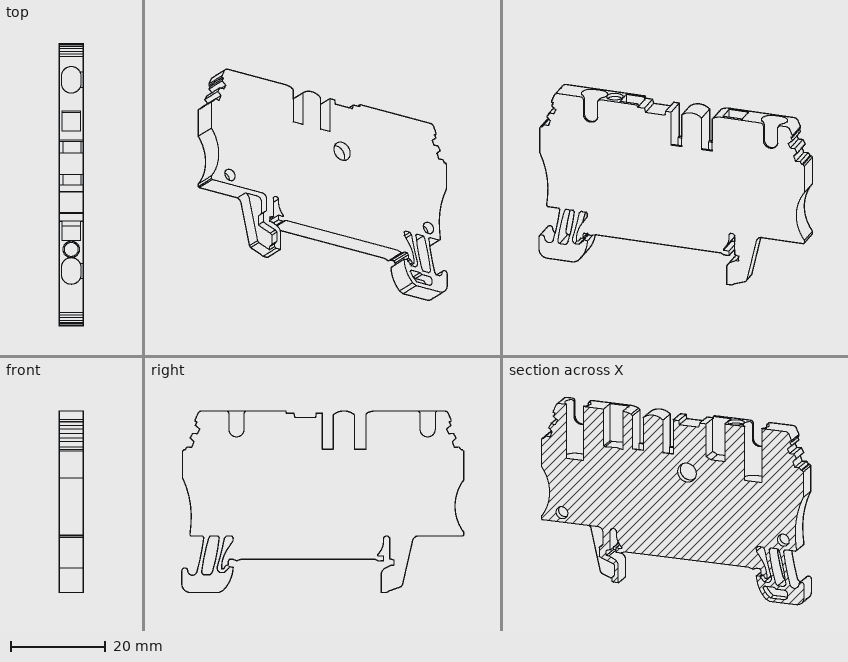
import cadquery as cq
import math

thickness = 5.1
overall_length = 59.48
height = 38.35
body_length = 59.33
eps = 0.5

ledge_z = 11.92
rail_z = 7.03
shoulder_z = 30.15
waist_top_z = 23.75
far_waist_top_z = 24.2

slot_floor_z = 30.25
slot_one = (20.67, 23.03)
slot_two = (27.53, 29.84)
pin_shoulder_z = 37.5
crest_start, crest_mid, crest_end = (18.5, height), (19.5, 38.24), (20.35, 37.93)
crest_foot_z = 37.6
low_top_z = 37.86
bridge_floor_z = 36.94
channel_x = (-1.71, 2.07)
channel_depth = 3.0

corner_holes = [(4.67, 14.07), (54.74, 14.07)]
corner_hole_diameter, corner_hole_depth = 2.55, 2.2
center_hole = (32.95, 26.45)
center_hole_diameter, center_hole_depth = 4.1, 2.2

wire_entries = [7.61, 47.93]
wire_entry_length, wire_entry_width = 5.6, 4.16
wire_entry_depth = 12.0
scallop_radius = 1.6
scallop_lip_radius = 0.66
scallop_depth = 5.5
tool_opening_width = 3.8
tool_floor_z = 30.0
tool_opening_floors = [
    [(14.15, tool_floor_z + 0.1), (14.5, tool_floor_z),
     (17.05, tool_floor_z + 0.12), (18.45, tool_floor_z - 0.15)],
    [(37.34, tool_floor_z + 0.55), (38.45, tool_floor_z), (41.5, tool_floor_z)],
]
test_hole_s = 43.38
test_hole_diameter, test_hole_rim_diameter = 2.95, 3.48
test_hole_depth = 8.0
test_hole_rim_depth = 0.6

leg_web_thickness = 3.15
foot_pocket_depth = 2.5


def side_plane(x):
    """Plane at x with local axes (s, z); its normal points to -X."""
    return cq.Plane(origin=(x, overall_length / 2, 0), xDir=(0, -1, 0), normal=(-1, 0, 0))


def side_sketch(x=thickness / 2):
    return cq.Workplane(side_plane(x))


def top_sketch(s, z=height):
    """Horizontal plane at level z centred at distance s from the +Y end."""
    return cq.Workplane("XY", origin=(0, overall_length / 2 - s, z))


def box_cut(s_range, z_range, x_range):
    """Box given by its ranges along s, z and x."""
    s_size = s_range[1] - s_range[0]
    z_size = z_range[1] - z_range[0]
    return (
        side_sketch(x_range[1])
        .moveTo(s_range[0] + s_size / 2, z_range[0] + z_size / 2)
        .rect(s_size, z_size)
        .extrude(x_range[1] - x_range[0])
    )


edge_start, edge_mid = (4.15, height), (3.62, 38.2)

end_steps = [
    (3.25, 37.8), (2.68, 36.5), (2.68, 36.1), (3.03, 36.0), (2.68, 35.3), (3.62, 34.5),
    (3.15, 33.55), (2.15, 33.6), (1.6, 32.6), (2.4, 31.85), (1.95, 30.65), (0.97, 30.75),
    (0.55, shoulder_z), (0.3, shoulder_z), (0, shoulder_z - 0.3),
]


def far_end(point):
    """Mirror of a profile point at the other end of the body."""
    return (body_length - point[0], point[1])


def make_body():
    far_steps = [far_end(point) for point in reversed(end_steps)]
    pin_middle = (slot_one[1] + slot_two[0]) / 2
    corner = 0.2
    return (
        side_sketch()
        .moveTo(*edge_start)
        .threePointArc(edge_mid, end_steps[0])
        .polyline(end_steps[1:], includeCurrent=True)
        .lineTo(0, waist_top_z)
        .threePointArc((1.82, 18.4), (0, 12.75))
        .lineTo(0, ledge_z + corner)
        .lineTo(corner, ledge_z)
        .lineTo(57.5, ledge_z)
        .lineTo(57.75, ledge_z + corner)
        .lineTo(57.75, 12.5)
        .lineTo(57.57, 14.3)
        .threePointArc((57.76, 19.2), (body_length, far_waist_top_z))
        .polyline(far_steps, includeCurrent=True)
        .threePointArc(far_end(edge_mid), far_end(edge_start))
        .lineTo(37.5, height)
        .lineTo(37.42, low_top_z)
        .lineTo(35.84, low_top_z)
        .lineTo(35.57, bridge_floor_z)
        .lineTo(31.26, bridge_floor_z)
        .lineTo(31.12, low_top_z)
        .lineTo(slot_two[1], low_top_z)
        .lineTo(slot_two[1], slot_floor_z)
        .lineTo(slot_two[0], slot_floor_z)
        .lineTo(slot_two[0], pin_shoulder_z)
        .threePointArc((pin_middle, height), (slot_one[1], pin_shoulder_z))
        .lineTo(slot_one[1], slot_floor_z)
        .lineTo(slot_one[0], slot_floor_z)
        .lineTo(slot_one[0], crest_foot_z)
        .lineTo(*crest_end)
        .threePointArc(crest_mid, crest_start)
        .close()
        .extrude(thickness)
    )


def make_belly():
    """Middle part below the ledge, with a hook at the +Y end and a claw at the -Y end."""
    top = ledge_z + 1
    return (
        side_sketch()
        .moveTo(16.9, top)
        .lineTo(16.9, 10.6)
        .threePointArc((17.2, 9.4), (18.15, 8.0))
        .lineTo(18.1, 7.77)
        .lineTo(16.88, 7.77)
        .lineTo(16.88, 6.7)
        .lineTo(17.98, 6.66)
        .lineTo(18.8, rail_z)
        .lineTo(46.9, rail_z)
        .lineTo(47.93, 6.7)
        .lineTo(48.7, rail_z)
        .lineTo(49.4, rail_z)
        .lineTo(49.65, 6.6)
        .lineTo(49.65, 5.85)
        .lineTo(50.2, 5.65)
        .lineTo(50.65, 5.0)
        .lineTo(51.1, 5.0)
        .threePointArc((50.75, 7.4), (49.85, 9.2))
        .lineTo(48.7, 10.9)
        .lineTo(48.65, 11.6)
        .lineTo(48.95, ledge_z)
        .lineTo(48.95, top)
        .close()
        .extrude(thickness)
    )


def make_leg():
    """Sprung leg at the +Y end: a full-thickness strip backed by a web on the +X side."""
    top = ledge_z + 1
    leg = (
        side_sketch()
        .moveTo(9.84, top)
        .lineTo(9.84, ledge_z)
        .threePointArc((10.5, 11.5), (10.85, 10.6))
        .lineTo(12.9, 1.65)
        .lineTo(13.2, 1.25)
        .lineTo(15.7, 0.35)
        .lineTo(16.3, 0)
        .lineTo(17.44, 0)
        .lineTo(17.44, 4.05)
        .threePointArc((17.1, 4.75), (16.55, 5.2))
        .lineTo(15.35, 5.8)
        .lineTo(14.72, 5.8)
        .lineTo(14.72, 6.85)
        .lineTo(15.64, 7.15)
        .lineTo(15.64, 11.5)
        .threePointArc((16.25, ledge_z), (16.9, 11.5))
        .lineTo(16.9, top)
        .close()
        .extrude(thickness)
    )
    recess = (
        side_sketch(thickness / 2 - leg_web_thickness)
        .moveTo(9, ledge_z)
        .lineTo(12.76, ledge_z)
        .threePointArc((13.55, 11.6), (13.88, 10.8))
        .lineTo(13.88, 8.1)
        .lineTo(13.1, 7.4)
        .lineTo(13.1, 5.35)
        .lineTo(13.6, 5.05)
        .lineTo(16.1, 4.15)
        .lineTo(16.54, 3.8)
        .lineTo(16.54, 1.7)
        .lineTo(15.9, 0.95)
        .lineTo(15.9, -eps)
        .lineTo(9, -eps)
        .close()
        .extrude(thickness)
    )
    return leg.cut(recess)


def make_foot():
    """Latching foot at the -Y end, hung on two slanted springs."""
    top = ledge_z + 1
    foot = (
        side_sketch()
        .moveTo(50.05, top)
        .lineTo(50.05, ledge_z)
        .lineTo(50.45, 11.5)
        .threePointArc((51.3, 7.8), (51.95, 5.5))
        .threePointArc((51.9, 4.8), (51.5, 4.3))
        .lineTo(50.5, 4.3)
        .lineTo(49.55, 5.2)
        .lineTo(49.5, 5.5)
        .lineTo(48.6, 5.35)
        .threePointArc((49.4, 2.3), (50.75, 0.45))
        .lineTo(51.65, 0)
        .lineTo(57.8, 0)
        .threePointArc((58.94, 0.55), (overall_length, 1.7))
        .lineTo(overall_length, 4.6)
        .threePointArc((58.75, 5.23), (58.2, 4.6))
        .threePointArc((57.3, 3.7), (56.25, 4.6))
        .threePointArc((55.55, 7.5), (54.85, 11.6))
        .lineTo(55.1, ledge_z)
        .lineTo(55.1, top)
        .close()
        .extrude(thickness)
    )
    window = (
        side_sketch(thickness / 2)
        .moveTo(51.85, ledge_z)
        .lineTo(53.5, ledge_z)
        .lineTo(53.8, 11.4)
        .threePointArc((54.6, 8.2), (55.2, 4.75))
        .threePointArc((55.2, 4.2), (54.85, 3.8))
        .lineTo(53.5, 3.8)
        .threePointArc((53.2, 4.1), (53.0, 4.5))
        .threePointArc((52.1, 8.2), (51.6, 11.6))
        .close()
        .extrude(thickness)
    )
    pocket = (
        side_sketch(-thickness / 2 + foot_pocket_depth)
        .moveTo(50.4, 3.25)
        .lineTo(52.65, 3.25)
        .lineTo(53.1, 2.9)
        .lineTo(54.9, 2.9)
        .threePointArc((55.45, 2.65), (55.6, 2.25))
        .lineTo(55.6, 1.5)
        .threePointArc((55.45, 1.15), (55.0, 0.9))
        .lineTo(51.85, 0.9)
        .threePointArc((51.0, 1.65), (50.2, 2.95))
        .close()
        .extrude(thickness)
    )
    return foot.cut(window).cut(pocket)


def blind_holes(points, diameter, depth):
    """Round tools entering the -X face."""
    return side_sketch(-thickness / 2 + depth).pushPoints(points).circle(diameter / 2).extrude(thickness)


def wire_entry(s):
    """Oval shaft from the top with a round scallop through the +X wall."""
    shaft = (
        top_sketch(s)
        .slot2D(wire_entry_length, wire_entry_width, 90)
        .extrude(-wire_entry_depth)
    )
    round_center_z = height - scallop_depth + scallop_radius
    lip_z = height - scallop_lip_radius
    lip_half_width = scallop_radius + scallop_lip_radius
    lip_mid = scallop_lip_radius * math.sqrt(0.5)
    scallop = (
        side_sketch()
        .moveTo(s - lip_half_width, height)
        .threePointArc((s - lip_half_width + lip_mid, lip_z + lip_mid), (s - scallop_radius, lip_z))
        .lineTo(s - scallop_radius, round_center_z)
        .threePointArc((s, height - scallop_depth), (s + scallop_radius, round_center_z))
        .lineTo(s + scallop_radius, lip_z)
        .threePointArc((s + lip_half_width - lip_mid, lip_z + lip_mid), (s + lip_half_width, height))
        .close()
        .extrude(thickness / 2)
    )
    return shaft.union(scallop)


def tool_opening(floor_points):
    """Rectangular opening from the top with the given floor profile."""
    rim_start = floor_points[0][0]
    rim_end = floor_points[-1][0]
    outline = [(rim_start, height + eps)] + floor_points + [(rim_end, height + eps)]
    return side_sketch(tool_opening_width / 2).polyline(outline).close().extrude(tool_opening_width)


def test_hole():
    bore = top_sketch(test_hole_s).circle(test_hole_diameter / 2).extrude(-test_hole_depth)
    countersink = (
        top_sketch(test_hole_s)
        .circle(test_hole_rim_diameter / 2)
        .workplane(offset=-test_hole_rim_depth)
        .circle(test_hole_diameter / 2)
        .loft()
    )
    return bore.union(countersink)


result = make_body().union(make_belly()).union(make_leg()).union(make_foot())

result = result.cut(blind_holes(corner_holes, corner_hole_diameter, corner_hole_depth))
result = result.cut(blind_holes([center_hole], center_hole_diameter, center_hole_depth))

for slot in (slot_one, slot_two):
    result = result.cut(box_cut(slot, (slot_floor_z - channel_depth, slot_floor_z), channel_x))

for entry_s in wire_entries:
    result = result.cut(wire_entry(entry_s))

for floor_profile in tool_opening_floors:
    result = result.cut(tool_opening(floor_profile))

result = result.cut(test_hole())